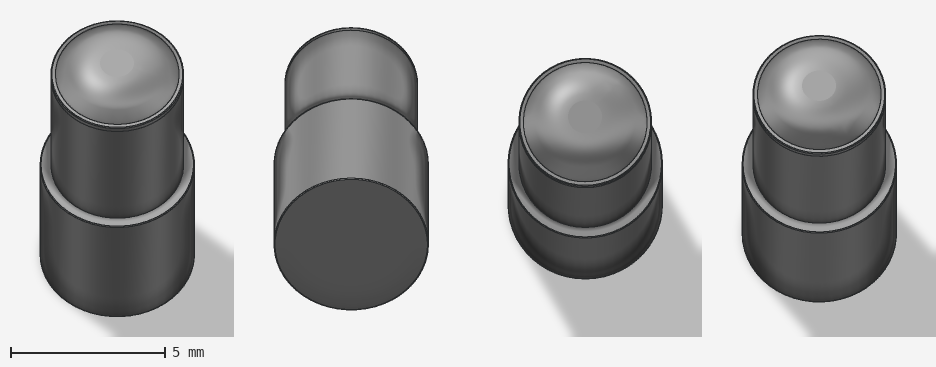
import cadquery as cq
import math

total_height = 10.6
collar_radius = 2.5
collar_height = 5.0
collar_chamfer = 0.03

barrel_radius = 2.15
joint_height = 9.8

rim_height = 10.0
rim_chamfer = 0.03
dome_base_radius = 2.0
dome_flat_radius = 0.55


def make_body():
    """Stepped round body: a wide chamfered collar carrying a plain barrel."""
    collar = (
        cq.Workplane("XY")
        .circle(collar_radius)
        .extrude(collar_height)
        .faces("<Z or >Z")
        .edges()
        .chamfer(collar_chamfer)
    )
    barrel = (
        cq.Workplane("XY")
        .workplane(offset=collar_height)
        .circle(barrel_radius)
        .extrude(joint_height - collar_height)
    )
    return collar.union(barrel)


def make_cap():
    """Cap flush with the barrel, with a dome that curves smoothly into a small end flat."""
    dome_height = total_height - rim_height
    dome_width = dome_base_radius - dome_flat_radius
    arc_radius = (dome_width**2 + dome_height**2) / (2 * dome_height)
    half_angle = math.asin(dome_width / arc_radius) / 2
    arc_middle = (
        dome_flat_radius + arc_radius * math.sin(half_angle),
        total_height - arc_radius * (1 - math.cos(half_angle)),
    )
    return (
        cq.Workplane("XZ")
        .moveTo(0, joint_height)
        .lineTo(barrel_radius, joint_height)
        .lineTo(barrel_radius, rim_height - rim_chamfer)
        .lineTo(barrel_radius - rim_chamfer, rim_height)
        .lineTo(dome_base_radius, rim_height)
        .threePointArc(arc_middle, (dome_flat_radius, total_height))
        .lineTo(0, total_height)
        .close()
        .revolve(360, (0, 0, 0), (0, 1, 0))
    )


body = make_body()
cap = make_cap()
result = cq.Compound.makeCompound([body.val(), cap.val()])